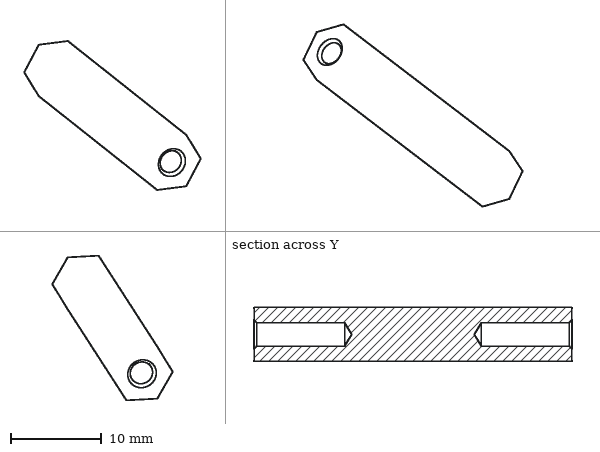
import cadquery as cq
import math

LENGTH = 35.0
ACROSS_FLATS = 6.0
SIDES = 6
ACROSS_CORNERS = ACROSS_FLATS / math.cos(math.pi / SIDES)
EDGE_RADIUS = 0.1

HOLE_DIAMETER = 2.5
HOLE_DEPTH = 10.0
MOUTH_DIAMETER = 3.2
MOUTH_ANGLE = 90.0
DRILL_POINT_ANGLE = 118.0


def cone_height(large_diameter, small_diameter, included_angle):
    """Axial length of a cone frustum with the given full apex angle."""
    return (large_diameter - small_diameter) / 2 / math.tan(math.radians(included_angle / 2))


def hex_bar():
    """Hexagonal bar from X = 0 to X = LENGTH with flats facing +Z and -Z and every edge rounded."""
    sharp_bar = cq.Workplane("YZ").polygon(SIDES, ACROSS_CORNERS).extrude(LENGTH)
    return sharp_bar.edges().fillet(EDGE_RADIUS)


def hole_cutter():
    """Revolved hole volume opening at X = 0 and running toward +X."""
    hole_radius = HOLE_DIAMETER / 2
    mouth_depth = cone_height(MOUTH_DIAMETER, HOLE_DIAMETER, MOUTH_ANGLE)
    tip_depth = HOLE_DEPTH + cone_height(HOLE_DIAMETER, 0, DRILL_POINT_ANGLE)
    profile = (
        cq.Workplane("XY")
        .moveTo(0, 0)
        .lineTo(0, MOUTH_DIAMETER / 2)
        .lineTo(mouth_depth, hole_radius)
        .lineTo(HOLE_DEPTH, hole_radius)
        .lineTo(tip_depth, 0)
        .close()
    )
    return profile.revolve(360, (0, 0, 0), (1, 0, 0))


near_hole = hole_cutter()
far_hole = near_hole.mirror("YZ").translate((LENGTH, 0, 0))

result = hex_bar().cut(near_hole).cut(far_hole)